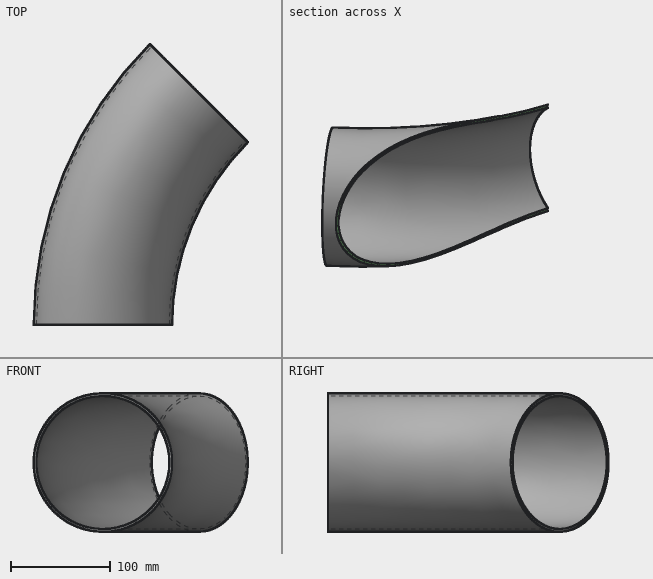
import cadquery as cq

OUTER_DIAMETER = 139.7
WALL_THICKNESS = 3.0
BEND_RADIUS = 330.0
BEND_ANGLE = 45.0

outer_radius = OUTER_DIAMETER / 2
inner_radius = outer_radius - WALL_THICKNESS


def pipe_bend():
    """Sweep the pipe ring, which starts in the XZ plane, from +Y towards +X."""
    ring = cq.Workplane("XZ").circle(outer_radius).circle(inner_radius)
    axis_start = (BEND_RADIUS, 0)
    axis_end = (BEND_RADIUS, -1)
    return ring.revolve(BEND_ANGLE, axis_start, axis_end)


result = pipe_bend()